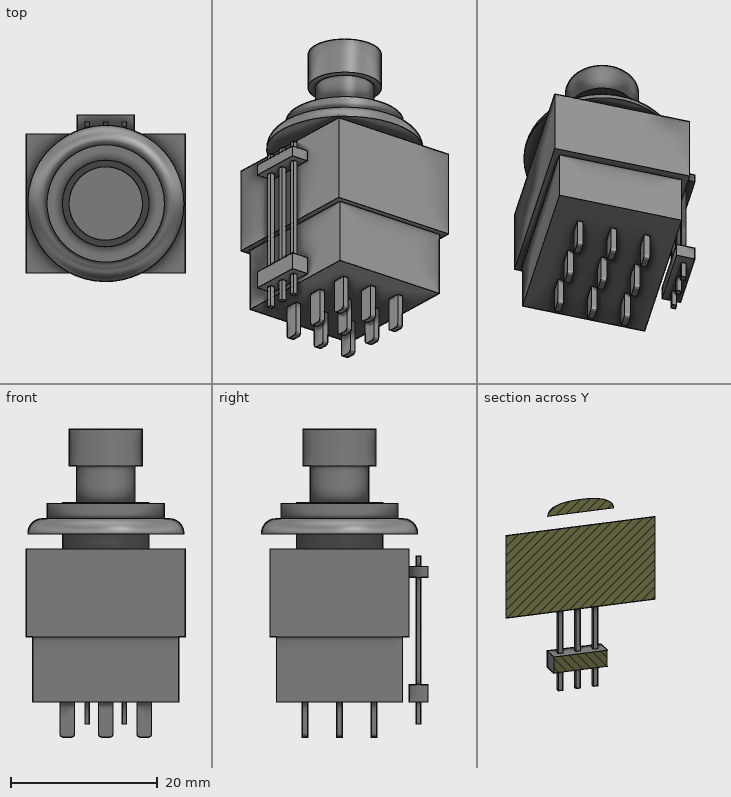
import cadquery as cq


CASE_X = 21.7
CASE_Y = 19.0
CASE_HEIGHT = 12.0
BASE_INSET = 0.9
BASE_HEIGHT = 8.9
BASE_BOTTOM = -(CASE_HEIGHT + BASE_HEIGHT)

BUSHING_DIAMETER = 11.8
BUSHING_HEIGHT = 6.3
WASHER_DIAMETER = 21.3
WASHER_BOTTOM = 2.0
WASHER_HEIGHT = 2.1
WASHER_ROUND = 2.0
NUT_DIAMETER = 16.0
NUT_HEIGHT = 2.1

STEM_DIAMETER = 8.0
STEM_LENGTH = 5.0
CAP_DIAMETER = 10.0
CAP_HEIGHT = 5.0

LUG_COUNT = 3
LUG_PITCH_X = 5.25
LUG_PITCH_Y = 4.7
LUG_WIDTH = 2.0
LUG_THICKNESS = 0.8
LUG_LENGTH = 4.8
LUG_CORNER_RADIUS = 0.5

PIN_COUNT = 3
PIN_PITCH = 2.54
PIN_SIZE = 0.64
PIN_TOP = -1.0
PIN_BOTTOM = BASE_BOTTOM - 3.0
STRIP_LENGTH = 7.8
STRIP_DEPTH = 2.6
HEADER_Y = CASE_Y / 2 + PIN_PITCH / 2
UPPER_STRIP_TOP = -2.4
UPPER_STRIP_HEIGHT = 1.5
LOWER_STRIP_HEIGHT = 2.4


def block(size_x, size_y, bottom, height):
    """Box centred on the Z axis, standing on the given level."""
    return cq.Workplane("XY").workplane(offset=bottom).rect(size_x, size_y).extrude(height)


def disc(diameter, bottom, height):
    """Cylinder on the Z axis, standing on the given level."""
    return cq.Workplane("XY").workplane(offset=bottom).circle(diameter / 2).extrude(height)


def row_positions(count, pitch):
    """Evenly spaced positions centred on zero."""
    return [(i - (count - 1) / 2) * pitch for i in range(count)]


def make_lug():
    """Flat solder lug with rounded tip corners, hanging from the base."""
    lug = block(LUG_WIDTH, LUG_THICKNESS, BASE_BOTTOM - LUG_LENGTH, LUG_LENGTH)
    return lug.faces("<Z").edges("|Y").fillet(LUG_CORNER_RADIUS)


def make_case():
    return block(CASE_X, CASE_Y, -CASE_HEIGHT, CASE_HEIGHT)


def make_switch():
    base = block(CASE_X - 2 * BASE_INSET, CASE_Y - 2 * BASE_INSET, BASE_BOTTOM, BASE_HEIGHT)

    bushing = disc(BUSHING_DIAMETER, 0, BUSHING_HEIGHT)
    washer = disc(WASHER_DIAMETER, WASHER_BOTTOM, WASHER_HEIGHT)
    washer = washer.faces(">Z").edges().fillet(WASHER_ROUND)
    nut = disc(NUT_DIAMETER, WASHER_BOTTOM + WASHER_HEIGHT, NUT_HEIGHT)

    stem = disc(STEM_DIAMETER, BUSHING_HEIGHT, STEM_LENGTH)
    cap = disc(CAP_DIAMETER, BUSHING_HEIGHT + STEM_LENGTH, CAP_HEIGHT)

    switch = make_case().union(base).union(bushing).union(washer).union(nut).union(stem).union(cap)
    lug = make_lug()
    for x in row_positions(LUG_COUNT, LUG_PITCH_X):
        for y in row_positions(LUG_COUNT, LUG_PITCH_Y):
            switch = switch.union(lug.translate((x, y, 0)))
    return switch


def make_header():
    strip_bottom = UPPER_STRIP_TOP - UPPER_STRIP_HEIGHT
    upper_strip = block(STRIP_LENGTH, STRIP_DEPTH, strip_bottom, UPPER_STRIP_HEIGHT)
    upper_strip = upper_strip.translate((0, HEADER_Y, 0))
    upper_strip = upper_strip.cut(make_case())

    lower_strip = block(STRIP_LENGTH, STRIP_DEPTH, BASE_BOTTOM, LOWER_STRIP_HEIGHT)
    header = upper_strip.union(lower_strip.translate((0, HEADER_Y, 0)))

    pin = block(PIN_SIZE, PIN_SIZE, PIN_BOTTOM, PIN_TOP - PIN_BOTTOM)
    for x in row_positions(PIN_COUNT, PIN_PITCH):
        header = header.union(pin.translate((x, HEADER_Y, 0)))
    return header


switch = make_switch()
header = make_header()

result = cq.Compound.makeCompound([switch.val(), header.val()])